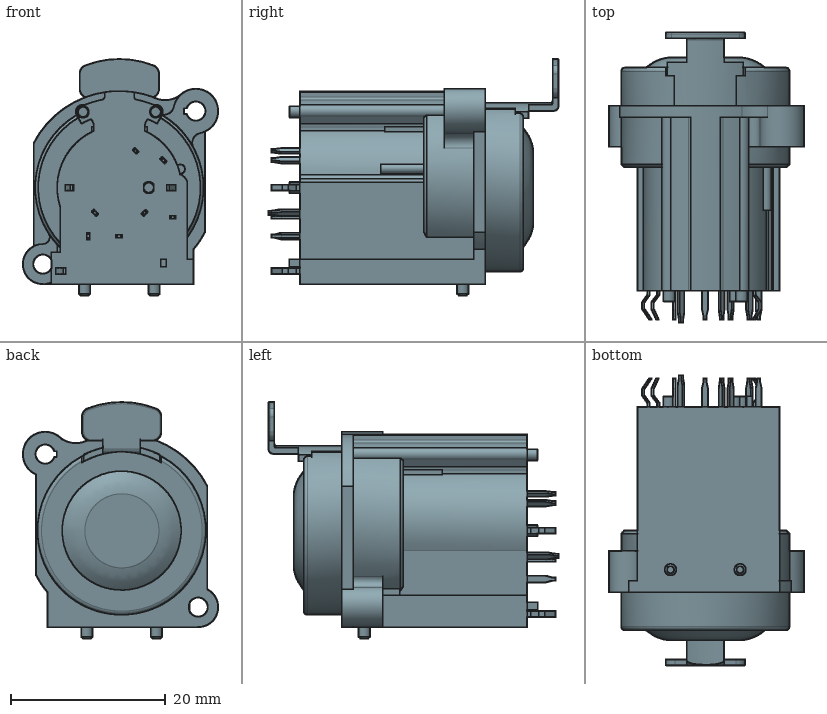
import cadquery as cq
import math


shell_radius = 10.9
shell_front = 4.92
shell_rear = -8.0
shell_front_round = 0.5
shell_rear_chamfer = 0.4
dome_base_radius = 7.7
dome_flat_radius = 4.8
dome_height = 1.3
dome_bulge_ratio = 0.7

flange_radius = 12.5
flange_half_width = 11.1
flange_thickness = 1.5
base_bottom = -12.53
ear_offset = 9.9
ear_depth = 5.35
upper_ear_radius = 2.9
lower_ear_radius = 2.6
upper_ear_blend = 1.3
lower_ear_blend = 0.9
flange_ear_blend = 3.2
ear_hole_diameter = 2.45
key_notch_width = 0.7
key_notch_reach = 1.5

housing_rear = -24.0
housing_radius = 8.05
housing_left = -7.64
housing_right = 8.82
shoulder_top = 1.65
shoulder_corner_x = 8.12
shoulder_bevel_x = 8.6
shoulder_bevel_z = 1.17
shoulder_side_top = 0.7
base_left = -8.78
base_right = 9.6
base_left_top = -8.37
base_right_top = -9.28
neck_half_width = 3.3
neck_top_half_width = 3.65
neck_flare_start = 7.9
neck_flare_end = 8.85
neck_pad_half_width = 3.6
neck_pad_rear = -13.0
arch_inner_radius = 9.6
arch_outer_radius = 11.6
rib_half_width = 1.9
rib_foot_round = 0.4
post_x = 4.7
post_z = 9.8
post_radius = 0.93
side_rib_x = 7.9
side_rib_z = 2.4
side_rib_radius = 0.6
side_rib_rear = -13.56
corner_rib_left = -8.05
corner_rib_top = -7.5
corner_rib_rear = -7.5

embed_depth = 0.5

peg_diameter = 1.5
rear_peg_length = 1.4
rear_peg_chamfer = 0.1
center_peg_x = 3.8
center_peg_width = 1.25
block_peg_x = 5.72
block_peg_z = -9.77
block_peg_width = 0.72
block_peg_height = 1.0
bottom_peg_x = 4.5
bottom_peg_y = -2.93
bottom_peg_tip = -14.02
bottom_peg_chamfer = 0.3

latch_outer_radius = 11.0
latch_thickness = 0.8
latch_guide_half_width = 4.0
latch_wide_half_width = 4.9
latch_neck_half_width = 2.42
latch_wide_rear = 3.86
latch_wide_front = 5.6
latch_clearance = 0.25
tab_front = 9.49
tab_half_width = 5.15
tab_bottom = 11.6
tab_top = 16.66
tab_side_top = 15.5
tab_corner_round = 1.2
tab_edge_round = 0.2
tab_bend_radius = 0.7
tab_inner_bend_radius = 0.2
latch_inner_radius = latch_outer_radius - latch_thickness

tail_rear = -27.7
long_tail_rear = -28.1
tail_thickness = 0.4
tail_tip_length = 1.3
tail_tip_ratio = 0.5
bent_tail_height = 0.8
bent_tail_thickness = 0.35
elbow_start = -25.5
elbow_end = -26.3
bent_tail_straight = 0.5


def section(y):
    """Sketch plane across the shell axis; extrusions run toward -Y."""
    return cq.Workplane("XZ", origin=(0, y, 0))


def disc(x, z, radius, front, rear):
    return section(front).center(x, z).circle(radius).extrude(front - rear)


def block(left, right, bottom, top, front, rear):
    return cq.Workplane("XY").box(
        right - left, front - rear, top - bottom, centered=False
    ).translate((left, rear, bottom))


def ring(inner, outer, front, rear):
    return section(front).circle(outer).circle(inner).extrude(front - rear)


def wedge(half_angle, front, rear):
    """Triangular prism opening upward from the shell axis."""
    reach = 2 * flange_radius
    side = reach * math.tan(math.radians(half_angle))
    outline = section(front).polyline([(0, 0), (side, reach), (-side, reach)]).close()
    return outline.extrude(front - rear)


def blend_centers(round_radius, ear_center, ear_radius, blend):
    """Centers of the two arcs tangent to a round on the axis and to an ear."""
    from_axis = round_radius + blend
    from_ear = ear_radius + blend
    spacing = math.hypot(*ear_center)
    along = (from_axis**2 - from_ear**2 + spacing**2) / (2 * spacing)
    aside = math.sqrt(from_axis**2 - along**2)
    ux = ear_center[0] / spacing
    uz = ear_center[1] / spacing
    first = (along * ux - aside * uz, along * uz + aside * ux)
    second = (along * ux + aside * uz, along * uz - aside * ux)
    return first, second


def ear_body(ear_center, ear_radius, round_radius, blend, rear):
    """Ear disc joined to a round by concave blends on both sides."""
    first, second = blend_centers(round_radius, ear_center, ear_radius, blend)
    web = section(0).polyline([(0, 0), first, ear_center, second]).close().extrude(-rear)
    for center in (first, second):
        web = web.cut(disc(*center, blend, 0, rear))
    return web.union(disc(*ear_center, ear_radius, 0, rear))


upper_ear = (ear_offset, ear_offset)
lower_ear = (-ear_offset, -ear_offset)


def make_shell():
    dome_front = shell_front + dome_height
    shell = disc(0, 0, shell_radius, shell_front, shell_rear)
    shell = shell.faces(">Y").edges().fillet(shell_front_round)
    shell = shell.faces("<Y").edges().chamfer(shell_rear_chamfer)
    dome_mid_radius = (dome_base_radius + dome_flat_radius) / 2
    dome_mid_y = shell_front + dome_bulge_ratio * dome_height
    dome = (
        cq.Workplane("XY")
        .moveTo(0, 0)
        .lineTo(dome_base_radius, 0)
        .lineTo(dome_base_radius, shell_front)
        .threePointArc((dome_mid_radius, dome_mid_y), (dome_flat_radius, dome_front))
        .lineTo(0, dome_front)
        .close()
        .revolve(360, (0, 0, 0), (0, 1, 0))
    )
    recess_half_width = latch_wide_half_width + latch_clearance
    recess = ring(latch_inner_radius, flange_radius, shell_front, latch_wide_rear).intersect(
        block(-recess_half_width, recess_half_width, 0, flange_radius, shell_front, latch_wide_rear)
    )
    return shell.cut(recess).union(dome)


def make_flange():
    rear = -flange_thickness
    plate = disc(0, 0, flange_radius, 0, rear).intersect(
        block(-flange_half_width, flange_half_width, base_bottom, flange_radius, 0, rear)
    )
    ear_plate = ear_body(upper_ear, upper_ear_radius, flange_radius, flange_ear_blend, rear)
    side_trim = block(flange_half_width, flange_radius + flange_ear_blend, 0, ear_offset, 0, rear)
    ear_plate = ear_plate.cut(side_trim)
    left_side = block(-flange_half_width, 0, -ear_offset, 0, 0, rear)
    foot = block(-ear_offset, base_right, base_bottom, 0, 0, rear)
    return plate.union(ear_plate).union(left_side).union(foot)


def make_ears():
    upper = ear_body(upper_ear, upper_ear_radius, shell_radius, upper_ear_blend, -ear_depth)
    lower = ear_body(lower_ear, lower_ear_radius, shell_radius, lower_ear_blend, -ear_depth)
    return upper.union(lower)


def make_ear_holes():
    radius = ear_hole_diameter / 2
    holes = disc(*upper_ear, radius, 0, -ear_depth).union(disc(*lower_ear, radius, 0, -ear_depth))
    notch = block(
        ear_offset - key_notch_reach, ear_offset,
        ear_offset - key_notch_width / 2, ear_offset + key_notch_width / 2,
        0, -ear_depth,
    )
    return holes.union(notch)


def make_housing():
    rear = housing_rear
    housing = disc(0, 0, housing_radius, 0, rear)
    shoulder_outline = [
        (0, base_bottom), (housing_right, base_bottom), (housing_right, shoulder_side_top),
        (shoulder_bevel_x, shoulder_bevel_z), (shoulder_corner_x, shoulder_top), (0, shoulder_top),
    ]
    shoulder = section(0).polyline(shoulder_outline).close().extrude(-rear)
    left_wall = block(housing_left, 0, base_bottom, 0, 0, rear)
    left_foot = block(base_left, 0, base_bottom, base_left_top, 0, rear)
    right_foot = block(0, base_right, base_bottom, base_right_top, 0, rear)
    side_rib = disc(side_rib_x, side_rib_z, side_rib_radius, 0, side_rib_rear)
    corner_rib = block(corner_rib_left, 0, base_left_top, corner_rib_top, 0, corner_rib_rear)
    for piece in (shoulder, left_wall, left_foot, right_foot, side_rib, corner_rib):
        housing = housing.union(piece)
    return housing


def make_arch():
    """Latch guide above the housing: neck, arch, top rib and two round posts."""
    rear = housing_rear
    post_circle_radius = math.hypot(post_x, post_z)
    post_angle = math.degrees(math.atan2(post_x, post_z))
    tangent_angle = math.asin(post_radius / post_circle_radius)
    tangent_radius = post_circle_radius * math.cos(tangent_angle)
    arch_half_angle = post_angle + math.degrees(tangent_angle)
    arch = ring(arch_inner_radius, tangent_radius, 0, rear).intersect(
        wedge(arch_half_angle, 0, rear)
    )
    crown = ring(arch_inner_radius, arch_outer_radius, 0, rear).intersect(wedge(post_angle, 0, rear))
    rib = disc(0, 0, flange_radius, 0, rear).intersect(
        block(-rib_half_width, rib_half_width, 0, flange_radius, 0, rear)
    )
    crown = crown.union(rib)
    rib_foot_z = math.sqrt(arch_outer_radius**2 - rib_half_width**2)
    for side in (-1, 1):
        foot_point = (side * rib_half_width, rear / 2, rib_foot_z)
        crown = crown.edges(cq.selectors.NearestToPointSelector(foot_point)).fillet(rib_foot_round)
    neck_half = (
        section(0)
        .lineTo(neck_half_width, 0)
        .lineTo(neck_half_width, neck_flare_start)
        .tangentArcPoint((neck_top_half_width, neck_flare_end), relative=False)
        .lineTo(neck_top_half_width, arch_inner_radius)
        .lineTo(0, arch_inner_radius)
        .close()
        .extrude(-rear)
    )
    neck = neck_half.union(neck_half.mirror("YZ"))
    neck_pad = block(
        -neck_pad_half_width, neck_pad_half_width, 0, neck_flare_start, 0, neck_pad_rear
    )
    arch = arch.union(crown).union(neck).union(neck_pad)
    for side in (-1, 1):
        arch = arch.union(disc(side * post_x, post_z, post_radius, 0, rear))
    return arch


def make_rear_peg(x, z):
    peg = disc(x, z, peg_diameter / 2, housing_rear + embed_depth, housing_rear - rear_peg_length)
    return peg.faces("<Y").edges().chamfer(rear_peg_chamfer)


def make_pegs():
    peg_rear = housing_rear - rear_peg_length
    pegs = make_rear_peg(post_x, post_z).union(make_rear_peg(-post_x, post_z))
    flats = block(
        center_peg_x - center_peg_width / 2, center_peg_x + center_peg_width / 2,
        -peg_diameter, peg_diameter, housing_rear + embed_depth, peg_rear,
    )
    pegs = pegs.union(make_rear_peg(center_peg_x, 0).intersect(flats))
    pegs = pegs.union(block(
        block_peg_x - block_peg_width / 2, block_peg_x + block_peg_width / 2,
        block_peg_z - block_peg_height / 2, block_peg_z + block_peg_height / 2,
        housing_rear + embed_depth, peg_rear,
    ))
    for side in (-1, 1):
        bottom_peg = (
            cq.Workplane("XY", origin=(side * bottom_peg_x, bottom_peg_y, bottom_peg_tip))
            .circle(peg_diameter / 2)
            .extrude(base_bottom + embed_depth - bottom_peg_tip)
        )
        pegs = pegs.union(bottom_peg.faces("<Z").edges().chamfer(bottom_peg_chamfer))
    return pegs


def latch_band(half_width, front, rear):
    """Stretch of the curved latch strip lying on the shell."""
    return ring(latch_inner_radius, latch_outer_radius, front, rear).intersect(
        block(-half_width, half_width, 0, flange_radius, front, rear)
    )


def make_latch():
    guide = latch_band(latch_guide_half_width, shell_front, 0)
    wide_part = latch_band(latch_wide_half_width, latch_wide_front, latch_wide_rear)
    neck = latch_band(latch_neck_half_width, tab_front, 0)
    latch = guide.union(wide_part).union(neck)
    tab_rear = tab_front - latch_thickness
    stem = block(
        -latch_neck_half_width, latch_neck_half_width,
        latch_inner_radius, tab_bottom + tab_corner_round, tab_front, tab_rear,
    )
    stem = stem.cut(disc(0, 0, latch_inner_radius, tab_front, tab_rear))
    latch = latch.union(stem)
    inner_bend_edge = cq.selectors.NearestToPointSelector((0, tab_rear, latch_outer_radius))
    latch = latch.edges(inner_bend_edge).fillet(tab_inner_bend_radius)
    neck_underside = math.sqrt(latch_inner_radius**2 - latch_neck_half_width**2)
    bend_y = tab_front - tab_bend_radius
    bend_z = neck_underside + tab_bend_radius
    corner = block(-latch_neck_half_width, latch_neck_half_width, 0, bend_z, tab_front, bend_y)
    bend = (
        cq.Workplane("YZ")
        .center(bend_y, bend_z)
        .circle(tab_bend_radius)
        .extrude(latch_neck_half_width, both=True)
    )
    latch = latch.cut(corner.cut(bend))
    tab = (
        section(tab_front)
        .moveTo(-tab_half_width, tab_bottom)
        .lineTo(tab_half_width, tab_bottom)
        .lineTo(tab_half_width, tab_side_top)
        .threePointArc((0, tab_top), (-tab_half_width, tab_side_top))
        .close()
        .extrude(latch_thickness)
        .edges("|Y")
        .fillet(tab_corner_round)
        .faces(">Y")
        .edges()
        .fillet(tab_edge_round)
    )
    return latch.union(tab)


def straight_tail(x, z, width, angle, rear):
    """Flat blade with a tapered tip, turned about its own long axis."""
    tip_start = rear + tail_tip_length
    half = width / 2
    half_tip = half * tail_tip_ratio
    root = housing_rear + embed_depth
    tip_middle = (tip_start + 2 * rear) / 3
    outline = [
        (-half, root), (-half, tip_start), (-half_tip, tip_middle), (-half_tip, rear),
        (half_tip, rear), (half_tip, tip_middle), (half, tip_start), (half, root),
    ]
    blade = cq.Workplane("XY").polyline(outline).close().extrude(tail_thickness / 2, both=True)
    return blade.rotate((0, 0, 0), (0, 1, 0), -angle).translate((x, 0, z))


def bent_tail(root_x, elbow_x, tip_x, z):
    """Snap-in strip that bows sideways and returns toward its tip."""
    half = bent_tail_thickness / 2
    path = [
        (root_x, housing_rear + embed_depth), (root_x, housing_rear - bent_tail_straight),
        (elbow_x, elbow_start), (elbow_x, elbow_end), (tip_x, tail_rear),
    ]
    outline = [(x - half, y) for x, y in path] + [(x + half, y) for x, y in reversed(path)]
    strip = cq.Workplane("XY").polyline(outline).close().extrude(bent_tail_height / 2, both=True)
    return strip.translate((0, 0, z))


def make_tails():
    straight_tails = [
        (2.1, 4.75, 0.7, -45, tail_rear),
        (5.7, 3.55, 0.85, -45, tail_rear),
        (-3.15, -3.27, 0.85, -45, long_tail_rear),
        (3.27, -3.27, 0.75, 45, tail_rear),
        (6.9, -3.85, 0.8, 0, tail_rear),
        (-4.0, -6.27, 0.9, 90, tail_rear),
        (-0.05, -6.3, 0.8, 0, tail_rear),
    ]
    bent_tails = [
        (-6.1, -6.85, -6.2, 0),
        (6.35, 7.1, 6.3, 0),
        (-7.35, -8.05, -7.1, -10.8),
    ]
    tails = straight_tail(*straight_tails[0])
    for tail in straight_tails[1:]:
        tails = tails.union(straight_tail(*tail))
    for tail in bent_tails:
        tails = tails.union(bent_tail(*tail))
    return tails


result = make_shell()
for feature in (make_flange(), make_ears(), make_housing(), make_arch(), make_latch()):
    result = result.union(feature)
result = result.cut(make_ear_holes()).union(make_pegs()).union(make_tails())